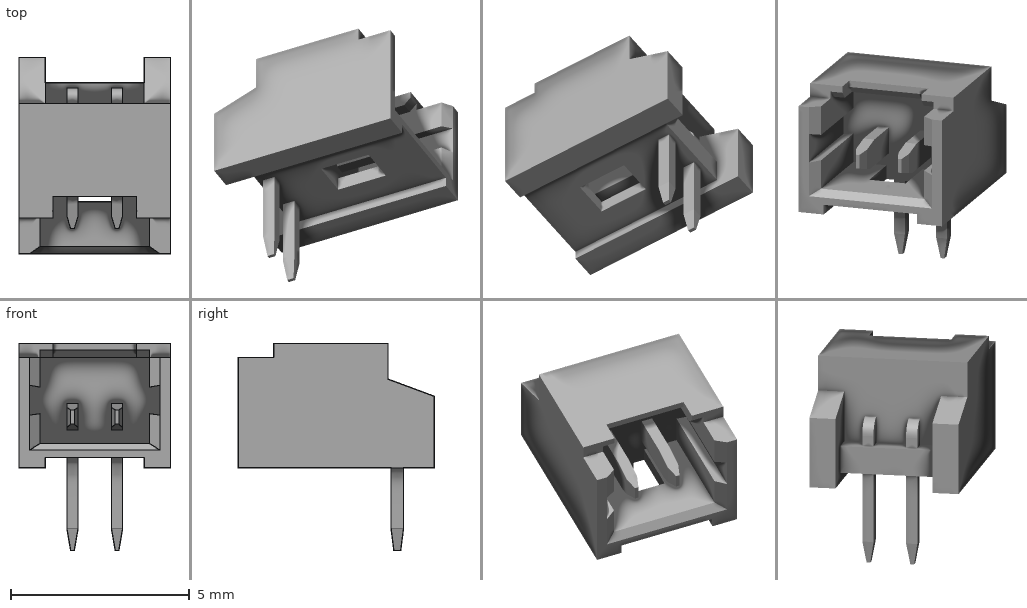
import cadquery as cq


width = 4.25
depth = 5.5
height = 3.48
front_step_y = 1.0
front_step_z = 3.09
roof_rear_y = 4.2
arm_top_z = 2.48
arm_end_z = 2.0
arm_gap = 2.76
ledge_rear_y = 4.79
ledge_z = 1.05
foot_height = 0.285

cavity_width = 3.05
cavity_floor_z = 0.685
cavity_top_z = 3.09
roof_lip_z = 3.295
roof_bevel_depth = 0.205
cavity_depth = 2.945
mouth_width = 3.64
mouth_floor_z = 0.495
mouth_bevel_depth = 0.21
groove_outer_z = (1.475, 2.31)
groove_inner_z = (1.515, 2.255)
roof_notch_width = 2.345
roof_notch_y = 1.6
window_width = 1.08
window_front_y = 1.46

pin_pitch = 1.245
pin_width = 0.32
pin_bottom_z = 1.05
pin_top_z = 1.805
pin_tip_y = 0.71
pin_taper_y = 1.06
pin_upper_slope_y = 1.68
pin_lower_slope_y = 1.33
pin_tip_z = (1.22, 1.62)
tip_width = 0.105
leg_rear_y = 4.635
leg_thickness = 0.355
leg_tip_thickness = 0.2
leg_taper_z = -1.705
leg_end_z = -2.32
bend_radius = 0.465


def box(x_size, y_range, z_range):
    """Box centred on X, spanning the given Y and Z ranges."""
    return (
        cq.Workplane("XY")
        .box(x_size, y_range[1] - y_range[0], z_range[1] - z_range[0], centered=(True, False, False))
        .translate((0, y_range[0], z_range[0]))
    )


def make_outer_body():
    profile = [
        (0, 0),
        (depth, 0),
        (depth, arm_end_z),
        (roof_rear_y, arm_top_z),
        (roof_rear_y, height),
        (front_step_y, height),
        (front_step_y, front_step_z),
        (0, front_step_z),
    ]
    body = cq.Workplane("YZ").polyline(profile).close().extrude(width / 2, both=True)
    body = body.cut(box(arm_gap, (0, depth), (0, foot_height)))
    body = body.cut(box(arm_gap, (roof_rear_y, depth), (ledge_z, height)))
    return body.cut(box(arm_gap, (ledge_rear_y, depth), (0, height)))


def make_mouth_bevel():
    """Funnel at the mouth, open upwards."""
    outer_height = height - mouth_floor_z
    inner_height = height - cavity_floor_z
    return (
        cq.Workplane("XZ")
        .center(0, mouth_floor_z + outer_height / 2)
        .rect(mouth_width, outer_height)
        .workplane(offset=-mouth_bevel_depth)
        .center(0, (cavity_floor_z - mouth_floor_z) / 2)
        .rect(cavity_width, inner_height)
        .loft(ruled=True)
    )


def make_groove(side):
    """Dovetail groove along one side wall; side is -1 or 1."""
    inner_x = side * cavity_width / 2
    outer_x = side * mouth_width / 2
    profile = [
        (0, groove_inner_z[0]),
        (inner_x, groove_inner_z[0]),
        (outer_x, groove_outer_z[0]),
        (outer_x, groove_outer_z[1]),
        (inner_x, groove_inner_z[1]),
        (0, groove_inner_z[1]),
    ]
    return cq.Workplane("XZ").polyline(profile).close().extrude(-cavity_depth)


def make_roof_bevel(x_size, front_y):
    """Bevel under the roof, starting from its front edge at front_y."""
    profile = [
        (front_y, cavity_top_z),
        (front_y, roof_lip_z),
        (front_y + roof_bevel_depth, cavity_top_z),
    ]
    return cq.Workplane("YZ").polyline(profile).close().extrude(x_size / 2, both=True)


def make_housing():
    housing = make_outer_body()
    housing = housing.cut(box(cavity_width, (0, cavity_depth), (cavity_floor_z, cavity_top_z)))
    housing = housing.cut(make_mouth_bevel())
    for side in (-1, 1):
        housing = housing.cut(make_groove(side))
    housing = housing.cut(box(roof_notch_width, (0, roof_notch_y), (cavity_floor_z, height)))
    housing = housing.cut(make_roof_bevel(cavity_width, front_step_y))
    housing = housing.cut(make_roof_bevel(roof_notch_width, roof_notch_y))
    return housing.cut(box(window_width, (window_front_y, cavity_depth), (0, cavity_floor_z)))


def make_pin():
    """Bent pin: the side profile trimmed to the tapering widths of its two ends."""
    leg_front_y = leg_rear_y - leg_thickness
    leg_inset = (leg_thickness - leg_tip_thickness) / 2
    side_profile = (
        cq.Workplane("YZ")
        .moveTo(pin_tip_y, pin_tip_z[0])
        .lineTo(pin_lower_slope_y, pin_bottom_z)
        .lineTo(leg_front_y, pin_bottom_z)
        .lineTo(leg_front_y, leg_taper_z)
        .lineTo(leg_front_y + leg_inset, leg_end_z)
        .lineTo(leg_rear_y - leg_inset, leg_end_z)
        .lineTo(leg_rear_y, leg_taper_z)
        .lineTo(leg_rear_y, pin_top_z - bend_radius)
        .tangentArcPoint((leg_rear_y - bend_radius, pin_top_z), relative=False)
        .lineTo(pin_upper_slope_y, pin_top_z)
        .lineTo(pin_tip_y, pin_tip_z[1])
        .close()
        .extrude(pin_width / 2, both=True)
    )
    half, half_tip = pin_width / 2, tip_width / 2
    contact_outline = [
        (-half_tip, pin_tip_y),
        (half_tip, pin_tip_y),
        (half, pin_taper_y),
        (half, leg_rear_y),
        (-half, leg_rear_y),
        (-half, pin_taper_y),
    ]
    leg_outline = [
        (-half_tip, leg_end_z),
        (half_tip, leg_end_z),
        (half, leg_taper_z),
        (half, pin_top_z),
        (-half, pin_top_z),
        (-half, leg_taper_z),
    ]
    contact = cq.Workplane("XY").workplane(offset=leg_end_z).polyline(contact_outline).close()
    contact = contact.extrude(pin_top_z - leg_end_z)
    leg = cq.Workplane("XZ").polyline(leg_outline).close().extrude(-leg_rear_y)
    return side_profile.intersect(contact).intersect(leg)


result = make_housing()
for side in (-1, 1):
    result = result.union(make_pin().translate((side * pin_pitch / 2, 0, 0)))